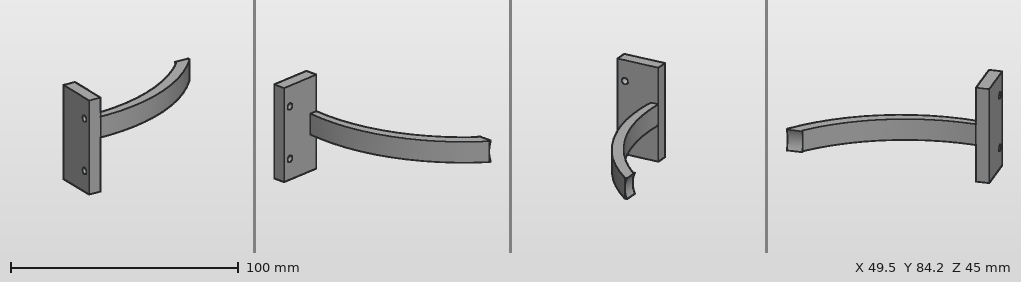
import cadquery as cq
import math

plate_width = 20.7
plate_depth = 6.1
plate_height = 45.0
hole_diameter = 3.0
hole_spacing = 25.0
hole_edge_distance = 3.8

arm_height = 10.0
arm_reach = 84.25
inner_radius = 87.2
inner_center_y = 13.2
outer_radius = 87.95
outer_center_x = -83.5
outer_center_y = 16.3

overall_width = 49.5
tip_x = plate_width - overall_width
tip_length = 7.1
saddle_radius = 12.5


def circle_x(center_x, center_y, radius, y):
    """X of the right-hand half of a circle at the given Y."""
    return center_x + math.sqrt(radius**2 - (y - center_y) ** 2)


def make_plate():
    plate = cq.Workplane("XY").box(
        plate_width, plate_depth, plate_height, centered=(False, False, True)
    )
    hole_x = plate_width - hole_edge_distance
    holes = (
        cq.Workplane("XZ")
        .pushPoints([(hole_x, -hole_spacing / 2), (hole_x, hole_spacing / 2)])
        .circle(hole_diameter / 2)
        .extrude(-plate_depth)
    )
    return plate.cut(holes)


def make_saddle_cutter():
    """Cylinder along Y that leaves the arm's top and bottom edges ending at tip_x."""
    axis_x = tip_x - math.sqrt(saddle_radius**2 - (arm_height / 2) ** 2)
    return (
        cq.Workplane("XZ")
        .center(axis_x, 0)
        .circle(saddle_radius)
        .extrude(-arm_reach)
    )


def make_arm():
    inner_center_x = -math.sqrt(inner_radius**2 - (plate_depth - inner_center_y) ** 2)

    def inner_point(y):
        return circle_x(inner_center_x, inner_center_y, inner_radius, y), y

    def outer_point(y):
        return circle_x(outer_center_x, outer_center_y, outer_radius, y), y

    tip_inner_y = arm_reach - tip_length
    arm = (
        cq.Workplane("XY")
        .moveTo(0, plate_depth)
        .threePointArc(inner_point((plate_depth + tip_inner_y) / 2), inner_point(tip_inner_y))
        .lineTo(tip_x, tip_inner_y)
        .lineTo(tip_x, arm_reach)
        .lineTo(*outer_point(arm_reach))
        .threePointArc(outer_point((plate_depth + arm_reach) / 2), outer_point(plate_depth))
        .close()
        .extrude(arm_height / 2, both=True)
    )
    return arm.cut(make_saddle_cutter())


plate = make_plate()
arm = make_arm()
result = cq.Compound.makeCompound([plate.solids().val(), arm.solids().val()])